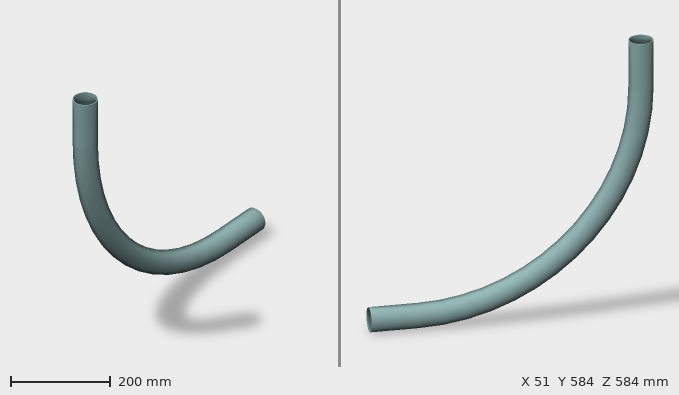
import cadquery as cq

overall_size = 584.0
outer_diameter = 51.0
inner_diameter = 47.5

straight_length = 101.5
centreline_reach = overall_size - outer_diameter / 2
bend_radius = centreline_reach - straight_length


def tube_ring():
    """Horizontal ring-shaped section of the tube wall, centred on the origin."""
    return cq.Workplane("XY").circle(outer_diameter / 2).circle(inner_diameter / 2)


bend_axis_start = (0, bend_radius, 0)
bend_axis_end = (1, bend_radius, 0)
bend = tube_ring().revolve(90, bend_axis_start, bend_axis_end)

vertical_end = tube_ring().extrude(straight_length)

horizontal_end = (
    tube_ring()
    .extrude(straight_length)
    .rotate((0, 0, 0), (1, 0, 0), -90)
    .translate((0, bend_radius, -bend_radius))
)

result = vertical_end.union(bend).union(horizontal_end)